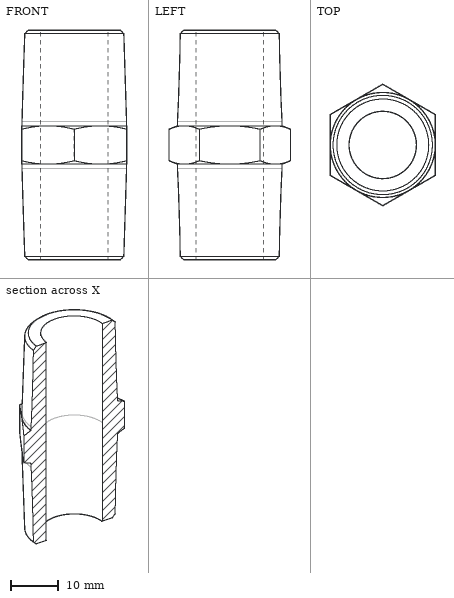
import cadquery as cq
import math

total_length = 48.0
hex_across_flats = 22.0
hex_height = 8.0
hex_corner_drop = 0.7
bore_diameter = 14.0
collar_diameter = 21.9
collar_height = 0.9
taper_ratio = 1 / 16
end_chamfer = 0.75

half_length = total_length / 2
half_hex = hex_height / 2
hex_corner_radius = hex_across_flats / 2 / math.cos(math.pi / 6)
collar_radius = collar_diameter / 2
taper_start = half_hex + collar_height
taper_end = half_length - end_chamfer
end_radius = collar_radius - taper_ratio * (taper_end - taper_start) / 2


def make_hex():
    """Hexagon with corners on the Y axis, both faces turned to a shallow cone."""
    prism = (
        cq.Workplane("XY")
        .workplane(offset=-half_hex)
        .polygon(6, 2 * hex_corner_radius)
        .extrude(hex_height)
        .rotate((0, 0, 0), (0, 0, 1), 30)
    )
    cone_edge = half_hex - hex_corner_drop
    turned_blank = (
        cq.Workplane("XZ")
        .moveTo(0, -half_hex)
        .lineTo(hex_across_flats / 2, -half_hex)
        .lineTo(hex_corner_radius, -cone_edge)
        .lineTo(hex_corner_radius, cone_edge)
        .lineTo(hex_across_flats / 2, half_hex)
        .lineTo(0, half_hex)
        .close()
        .revolve(360, (0, 0, 0), (0, 1, 0))
    )
    return prism.intersect(turned_blank)


def make_upper_spigot():
    """Straight collar, tapered pipe end and chamfered rim above the hexagon."""
    return (
        cq.Workplane("XZ")
        .lineTo(collar_radius, 0)
        .lineTo(collar_radius, taper_start)
        .lineTo(end_radius, taper_end)
        .lineTo(end_radius - end_chamfer, half_length)
        .lineTo(0, half_length)
        .close()
        .revolve(360, (0, 0, 0), (0, 1, 0))
    )


upper_spigot = make_upper_spigot()
lower_spigot = upper_spigot.mirror("XY")
bore = cq.Workplane("XY").circle(bore_diameter / 2).extrude(half_length, both=True)

result = make_hex().union(upper_spigot).union(lower_spigot).cut(bore)